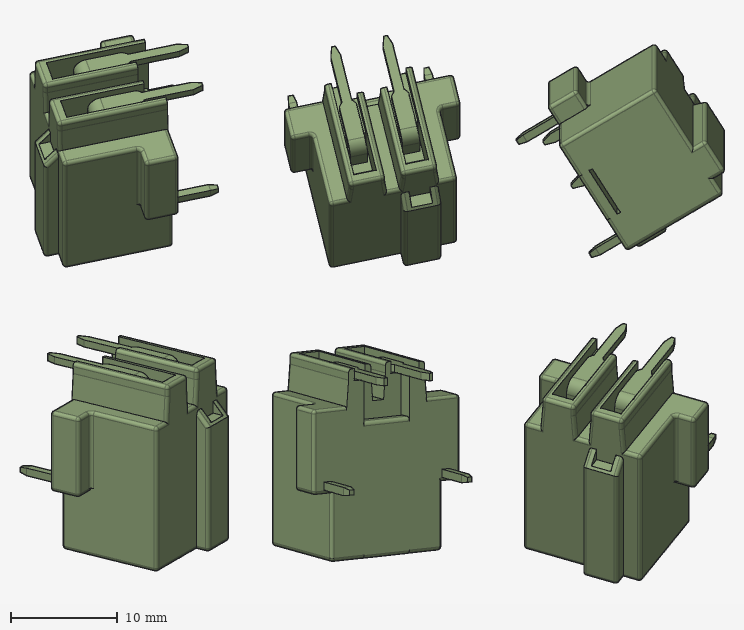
import cadquery as cq
import math


body_width = 12.2
body_depth = 10.6
body_height = 14.6
edge_radius = 0.35
back_edge_radius = 0.3

overall_width = 16.2
ear_depth = 3.2
ear_height = 8.05
ear_root_radius = 0.3

pole_pitch = 5.0
pole_centers = (-pole_pitch / 2, pole_pitch / 2)
tower_height = 3.55
tower_base_width = 3.8
tower_top_width = 3.4
tower_straight_height = 1.05
overall_height = body_height + tower_height

slot_width = 2.15
slot_front_wall = 1.0
shelf_length = 5.15
ledge_end = 8.0
ledge_height = body_height
pocket_floor_height = 10.0

recess_width = pole_pitch
recess_depth = 1.5
bridge_thickness = 1.15
bridge_height = 13.0
bridge_radius = 0.4

rib_center = pole_centers[1]
rib_width = 3.6
rib_depth = 1.35
rib_top_height = 14.0
rib_shoulder_height = 12.6
rib_notch_width = 2.0
rib_notch_height = 12.83

pin_top_height = 17.72
pin_thickness = 0.72
pin_wide = 1.65
pin_narrow = 0.95
pin_tip_width = 0.35
pin_front = 7.05
pin_bend_radius = 1.2
pin_taper_start = 2.35
pin_taper_end = 1.85
pin_tip_start = 2.85
pin_end = 3.83
pin_leg_embedding = 0.6
shelf_height = pin_top_height - pin_thickness

peg_spacing = 13.0
peg_height = 7.3
peg_width = 0.78
peg_tip_width = 0.48
peg_length = 4.25
peg_tip_length = 0.82
peg_embedding = 0.3

tolerance = 0.1


def box(x_center, width, y_front, y_back, z_bottom, z_top):
    """Block centred on x_center and bounded by its front, back, bottom and top."""
    block = cq.Workplane("XY").box(width, y_back - y_front, z_top - z_bottom, centered=(True, False, False))
    return block.translate((x_center, y_front, z_bottom))


def make_tower(x_center):
    """Tower with flanks that lean in and then turn upright near the top."""
    base = tower_base_width / 2
    top = tower_top_width / 2
    straight_start = overall_height - tower_straight_height
    outline = [
        (-base, body_height),
        (base, body_height),
        (top, straight_start),
        (top, overall_height),
        (-top, overall_height),
        (-top, straight_start),
    ]
    tower = cq.Workplane("XZ").polyline(outline).close().extrude(body_depth)
    return tower.translate((x_center, 0, 0))


def make_rib():
    """Keying rib with a sloping top."""
    front = -body_depth - rib_depth
    outline = [
        (-body_depth, 0),
        (front, 0),
        (front, rib_shoulder_height),
        (-body_depth, rib_top_height),
    ]
    rib = cq.Workplane("YZ").polyline(outline).close().extrude(rib_width / 2, both=True)
    return rib.translate((rib_center, 0, 0))


def make_shell():
    """Sharp-edged outside of the housing, before rounding and slots."""
    ear_bottom = body_height - ear_height
    shell = box(0, body_width, -body_depth, 0, 0, body_height)
    shell = shell.union(box(0, overall_width, -ear_depth, 0, ear_bottom, body_height))
    for x_center in pole_centers:
        shell = shell.union(make_tower(x_center))
    shell = shell.union(make_rib())
    return shell


def near(a, b):
    return abs(a - b) < tolerance


def fillet_where(shape, radius, is_wanted):
    """Fillet the edges whose midpoint (distance from X = 0, Y, Z) passes is_wanted."""
    chosen = []
    for edge in shape.edges().vals():
        middle = edge.positionAt(0.5)
        if is_wanted(abs(middle.x), middle.y, middle.z):
            chosen.append(edge)
    return shape.newObject(chosen).fillet(radius)


def is_ear_edge(x, y, z):
    """Lower and outer upright edges of the ears, clear of the body."""
    on_bottom = near(z, body_height - ear_height) and x > body_width / 2 + tolerance and y < -tolerance
    on_corner = near(x, overall_width / 2) and near(y, -ear_depth)
    return on_bottom or on_corner


def make_ear_root(side):
    """Concave fillet in the corner between ear and body; side is -1 or 1."""
    x_corner = side * body_width / 2
    x_end = x_corner + side * ear_root_radius
    y_end = -ear_depth - ear_root_radius
    x_middle = x_end - side * ear_root_radius * math.sqrt(0.5)
    y_middle = y_end + ear_root_radius * math.sqrt(0.5)
    z_bottom = body_height - ear_height + edge_radius
    return (
        cq.Workplane("XY", origin=(0, 0, z_bottom))
        .moveTo(x_corner, -ear_depth)
        .lineTo(x_end, -ear_depth)
        .threePointArc((x_middle, y_middle), (x_corner, y_end))
        .close()
        .extrude(body_height - z_bottom)
    )


def is_outer_edge(x, y, z):
    """Top of the body and towers, front upright corners, bottom and keying rib."""
    behind_front = -body_depth + tolerance < y < -tolerance
    on_shoulder = near(z, body_height) and x > body_width / 2 - tolerance and y < -tolerance
    on_tower_top = near(z, overall_height) and behind_front
    on_front_outline = near(y, -body_depth) and z >= body_height - tolerance
    on_front_corner = near(y, -body_depth) and near(x, body_width / 2)
    on_bottom = near(z, 0)
    on_rib = y < -body_depth - tolerance and not near(x, rib_center)
    return on_shoulder or on_tower_top or on_front_outline or on_front_corner or on_bottom or on_rib


def is_back_edge(x, y, z):
    """Back outline below the shoulder, leaving the towers and the bottom out."""
    return near(y, 0) and x > tower_base_width / 2 + pole_pitch / 2 and z > tolerance


def round_shell(shell):
    shell = fillet_where(shell, edge_radius, is_ear_edge)
    for side in (-1, 1):
        shell = shell.union(make_ear_root(side))
    shell = fillet_where(shell, edge_radius, is_outer_edge)
    return fillet_where(shell, back_edge_radius, is_back_edge)


def cut_slot(housing, x_center):
    """Stepped slot: high shelf at the back, ledge under the bend, deep pocket in front."""
    slot_front = -body_depth + slot_front_wall
    housing = housing.cut(box(x_center, slot_width, -shelf_length, 0, shelf_height, overall_height))
    housing = housing.cut(box(x_center, slot_width, -ledge_end, -shelf_length, ledge_height, overall_height))
    return housing.cut(box(x_center, slot_width, slot_front, -ledge_end, pocket_floor_height, overall_height))


def cut_back_recess(housing):
    """Open the back between the towers, leaving a rounded bridge across the lower part."""
    housing = housing.cut(box(0, recess_width, -recess_depth, 0, 0, overall_height))
    bridge = box(0, recess_width, -bridge_thickness, 0, 0, bridge_height)
    bridge = bridge.edges(">Y and >Z").fillet(bridge_radius)
    bridge = bridge.edges(">Y and <Z").fillet(back_edge_radius)
    return housing.union(bridge)


def cut_rib_notch(housing):
    front = -body_depth - rib_depth
    return housing.cut(box(rib_center, rib_notch_width, front, -body_depth, rib_notch_height, rib_top_height))


def make_contact(x_center):
    """Bent contact pin: tapered tail, wide blade and a leg going down into the ledge."""
    wide = pin_wide / 2
    narrow = pin_narrow / 2
    tip = pin_tip_width / 2
    right_side = [
        (wide, -pin_front),
        (wide, -pin_taper_start),
        (narrow, -pin_taper_end),
        (narrow, pin_tip_start),
        (tip, pin_end),
    ]
    left_side = [(-x, y) for x, y in reversed(right_side)]
    blade = cq.Workplane("XY").polyline(right_side + left_side).close().extrude(pin_thickness)
    blade = blade.translate((0, 0, shelf_height))
    leg_back = -pin_front + pin_thickness
    leg_bottom = ledge_height - pin_leg_embedding
    contact = blade.union(box(0, pin_wide, -pin_front, leg_back, leg_bottom, pin_top_height))
    contact = contact.edges("<Y and >Z").fillet(pin_bend_radius)
    return contact.translate((x_center, 0, 0))


def make_peg(x_center):
    """Square peg with a tapered tip, rooted in the back of an ear."""
    tip_start = peg_length - peg_tip_length
    shank = box(x_center, peg_width, -peg_embedding, tip_start, -peg_width / 2, peg_width / 2)
    tip = (
        cq.Workplane("XZ", origin=(x_center, tip_start, 0))
        .rect(peg_width, peg_width)
        .workplane(offset=-peg_tip_length)
        .rect(peg_tip_width, peg_tip_width)
        .loft()
    )
    return shank.union(tip).translate((0, 0, peg_height))


housing = round_shell(make_shell())
for pole_center in pole_centers:
    housing = cut_slot(housing, pole_center)
housing = cut_rib_notch(cut_back_recess(housing))

result = housing
for pole_center in pole_centers:
    result = result.union(make_contact(pole_center))
for peg_center in (-peg_spacing / 2, peg_spacing / 2):
    result = result.union(make_peg(peg_center))